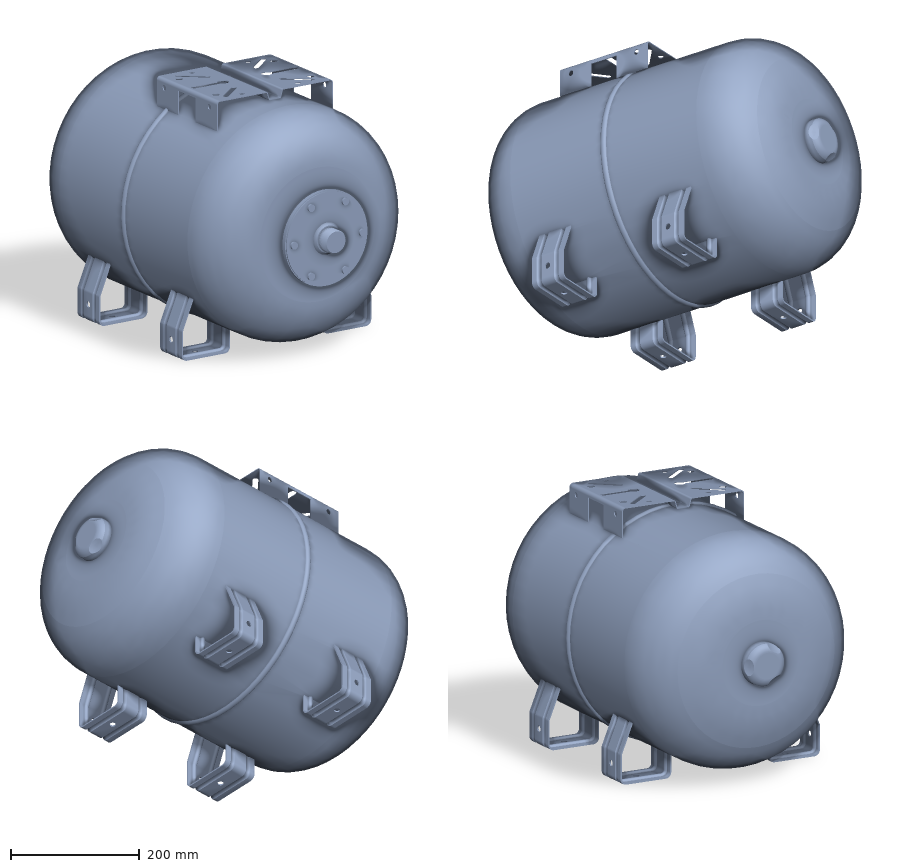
import math

import cadquery as cq


TANK_RADIUS = 190.0
CYLINDER_HALF = 177.5
BEAD_RADIUS = 6.0
BEAD_CREST_RADIUS = 193.41

LEFT_KNUCKLE_RADIUS = 90.0
LEFT_CROWN_RADIUS = 140.0
LEFT_FLAT_RADIUS = 69.0
LEFT_FLAT_X = -274.0

RIGHT_KNUCKLE_RADIUS = 81.2
RIGHT_FLAT_X = CYLINDER_HALF + RIGHT_KNUCKLE_RADIUS

FITTING_END_X = 309.7
OVERALL_LENGTH = 604.44
CAP_END_X = FITTING_END_X - OVERALL_LENGTH
CAP_FACE_RADIUS = 21.5
CAP_SIDE_RADIUS = 34.3
CAP_BASE_RADIUS = 35.2
CAP_ROUND_LENGTH = 8.0
GRIP_COUNT = 3
GRIP_RADIUS = 47.0
GRIP_CENTRE_RADIUS = 65.0
GRIP_SETBACK = 22.7

NECK_RADIUS = 107.76 / 2
NECK_FOOT_RADIUS = 145.24 / 2
NECK_BLEND = NECK_FOOT_RADIUS - NECK_RADIUS
FLANGE_X = 275.2
FLANGE_THICKNESS = 7.3
FLANGE_RADIUS = 77.4
COVER_X = FLANGE_X + FLANGE_THICKNESS
COVER_THICKNESS = 2.3
COVER_RADIUS = 76.0
COVER_FACE_X = COVER_X + COVER_THICKNESS
BOSS_LENGTH = 4.6
BOSS_BASE_RADIUS = 26.0
BOSS_TOP_RADIUS = 22.0

BOLT_COUNT = 6
BOLT_CIRCLE_RADIUS = 64.25
BOLT_TIP_LENGTH = 3.7
BOLT_SHANK_DIAMETER = 9.0
BOLT_HEAD_DIAMETER = 12.0
BOLT_HEAD_GAP = 1.8
BOLT_HEAD_THICKNESS = 3.6

THREAD_RADIUS = 19.0
THREAD_DEPTH = 1.5
THREAD_PITCH = 2.31
THREAD_GROOVES = 10
THREAD_END_CHAMFER = 1.5

BRACKET_TOP_Z = 205.0
BRACKET_SHEET = 1.5
BRACKET_LENGTH = 167.0
BRACKET_CENTRE_X = 56.7
BRACKET_HALF_WIDTH = 109.0
BRACKET_BEND_RADIUS = 5.2
SKIRT_BOTTOM_Z = 156.6
SKIRT_GAP_LENGTH = 49.2
SKIRT_GAP_TOP_Z = 196.0
SKIRT_HOLE_DIAMETER = 9.0
SKIRT_HOLE_OFFSET = 62.5
SKIRT_HOLE_Z = 191.0
CHANNEL_TOP_HALF = 14.5
CHANNEL_FLOOR_HALF = 10.5
CHANNEL_BEND_RADIUS = 2.5

KEYHOLE_DIAMETER = 18.0
KEYHOLE_SLOT_WIDTH = 11.0
KEYHOLE_Y = 41.0
KEYHOLE_SLOT_END_Y = 100.0
SLANT_SLOT_WIDTH = 9.0
SLANT_INNER = (36.4, 45.0)
SLANT_OUTER = (66.5, 80.5)
SMALL_HOLE_DIAMETER = 9.0
SMALL_HOLE = (69.2, 52.8)
LARGE_HOLE_DIAMETER = 12.0
LARGE_HOLE = (51.0, 89.0)

FOOT_OFFSET_X = 114.7
FOOT_WIDTH = 60.0
FOOT_SHEET = 2.3
FOOT_RIB_DEPTH = 3.2
FOOT_RIB_WIDTH = 9.0
FOOT_RIB_OFFSET = 16.4
FOOT_BOTTOM_Z = -205.0
FOOT_OUTER_Y = 178.1
FOOT_INNER_Y = 87.4
FOOT_BEND_RADIUS = 10.0
FOOT_KNEE_Z = -155.5
FOOT_KNEE_RADIUS = 8.0
FOOT_TOP_Y = 152.0
FOOT_TOP_Z = -92.0
FOOT_INNER_TOP_Z = -160.0
FOOT_HOLE_DIAMETER = 10.0
FOOT_SIDE_HOLE_Z = -176.0
FOOT_FLOOR_HOLE_Y = 133.0
FOOT_DRILL_DEPTH = 20.0


def x_cylinder(radius, start, length, y=0.0, z=0.0):
    """Round bar along X."""
    return cq.Workplane("YZ", origin=(start, y, z)).circle(radius).extrude(length)


def revolve_about_x(profile):
    """Full turn of an (x, radius) outline about the tank axis."""
    return profile.close().revolve(360, (0, 0, 0), (1, 0, 0))


def rounded_path(points, radii):
    """Open wire in the YZ plane with each inner corner rounded by its own radius."""
    path = cq.Workplane("YZ").moveTo(*points[0])
    corners = zip(points, points[1:], points[2:], radii)
    for before, corner, after, radius in corners:
        pivot = cq.Vector(*corner)
        back = (cq.Vector(*before) - pivot).normalized()
        ahead = (cq.Vector(*after) - pivot).normalized()
        half_angle = back.getAngle(ahead) / 2
        setback = radius / math.tan(half_angle)
        arc_offset = radius / math.sin(half_angle) - radius
        start = pivot + back * setback
        middle = pivot + (back + ahead).normalized() * arc_offset
        end = pivot + ahead * setback
        path = path.lineTo(start.x, start.y)
        path = path.threePointArc((middle.x, middle.y), (end.x, end.y))
    return path.lineTo(*points[-1])


def make_tank():
    knuckle_centre = TANK_RADIUS - LEFT_KNUCKLE_RADIUS
    knuckle_reach = math.sqrt(LEFT_KNUCKLE_RADIUS**2 - (LEFT_CROWN_RADIUS - knuckle_centre) ** 2)
    profile = (
        cq.Workplane("XY")
        .moveTo(RIGHT_FLAT_X, 0)
        .lineTo(RIGHT_FLAT_X, TANK_RADIUS - RIGHT_KNUCKLE_RADIUS)
        .tangentArcPoint((CYLINDER_HALF, TANK_RADIUS), relative=False)
        .lineTo(-CYLINDER_HALF, TANK_RADIUS)
        .tangentArcPoint((-CYLINDER_HALF - knuckle_reach, LEFT_CROWN_RADIUS), relative=False)
        .tangentArcPoint((LEFT_FLAT_X, LEFT_FLAT_RADIUS), relative=False)
        .lineTo(LEFT_FLAT_X, 0)
    )
    bead_centre = BEAD_CREST_RADIUS - BEAD_RADIUS
    bead = cq.Workplane("XY").center(0, bead_centre).circle(BEAD_RADIUS)
    bead = bead.revolve(360, (0, -bead_centre, 0), (1, -bead_centre, 0))
    return revolve_about_x(profile).union(bead)


def make_cap():
    cap = revolve_about_x(
        cq.Workplane("XY")
        .moveTo(LEFT_FLAT_X, 0)
        .lineTo(CAP_END_X, 0)
        .lineTo(CAP_END_X, CAP_FACE_RADIUS)
        .tangentArcPoint((CAP_END_X + CAP_ROUND_LENGTH, CAP_SIDE_RADIUS), relative=False)
        .lineTo(LEFT_FLAT_X, CAP_BASE_RADIUS)
    )
    for i in range(GRIP_COUNT):
        grip = cq.Workplane("XY").sphere(GRIP_RADIUS)
        grip = grip.translate((CAP_END_X - GRIP_SETBACK, GRIP_CENTRE_RADIUS, 0))
        cap = cap.cut(grip.rotate((0, 0, 0), (1, 0, 0), i * 360 / GRIP_COUNT))
    return cap


def make_neck():
    sag = NECK_BLEND * (1 - math.sqrt(0.5))
    blend_end_x = RIGHT_FLAT_X + NECK_BLEND
    neck = revolve_about_x(
        cq.Workplane("XY")
        .moveTo(RIGHT_FLAT_X, 0)
        .lineTo(RIGHT_FLAT_X, NECK_FOOT_RADIUS)
        .threePointArc((RIGHT_FLAT_X + sag, NECK_RADIUS + sag), (blend_end_x, NECK_RADIUS))
        .lineTo(blend_end_x, 0)
    )
    neck = neck.union(x_cylinder(FLANGE_RADIUS, FLANGE_X, FLANGE_THICKNESS))
    neck = neck.union(x_cylinder(COVER_RADIUS, COVER_X, COVER_THICKNESS))
    for i in range(BOLT_COUNT):
        neck = neck.union(make_bolt(i * 2 * math.pi / BOLT_COUNT))
    return neck


def make_bolt(angle):
    y = BOLT_CIRCLE_RADIUS * math.cos(angle)
    z = BOLT_CIRCLE_RADIUS * math.sin(angle)
    tip_x = FLANGE_X - BOLT_TIP_LENGTH
    head_x = COVER_FACE_X + BOLT_HEAD_GAP
    shank = x_cylinder(BOLT_SHANK_DIAMETER / 2, tip_x, head_x - tip_x, y, z)
    return shank.union(x_cylinder(BOLT_HEAD_DIAMETER / 2, head_x, BOLT_HEAD_THICKNESS, y, z))


def make_connection():
    """Tapered boss carrying a pipe with ring-shaped thread grooves."""
    boss = revolve_about_x(
        cq.Workplane("XY")
        .moveTo(COVER_FACE_X, 0)
        .lineTo(COVER_FACE_X, BOSS_BASE_RADIUS)
        .lineTo(COVER_FACE_X + BOSS_LENGTH, BOSS_TOP_RADIUS)
        .lineTo(COVER_FACE_X + BOSS_LENGTH, 0)
    )
    root_radius = THREAD_RADIUS - THREAD_DEPTH
    thread_start_x = FITTING_END_X - THREAD_END_CHAMFER - THREAD_GROOVES * THREAD_PITCH
    pipe = cq.Workplane("XY").moveTo(COVER_FACE_X, 0).lineTo(COVER_FACE_X, THREAD_RADIUS)
    pipe = pipe.lineTo(thread_start_x, THREAD_RADIUS)
    for i in range(THREAD_GROOVES):
        groove_x = thread_start_x + i * THREAD_PITCH
        pipe = pipe.lineTo(groove_x + THREAD_PITCH / 2, root_radius)
        pipe = pipe.lineTo(groove_x + THREAD_PITCH, THREAD_RADIUS)
    pipe = pipe.lineTo(FITTING_END_X, THREAD_RADIUS - THREAD_END_CHAMFER).lineTo(FITTING_END_X, 0)
    return boss.union(revolve_about_x(pipe))


def make_bracket_sheet():
    half_sheet = BRACKET_SHEET / 2
    skirt_y = BRACKET_HALF_WIDTH - half_sheet
    plate_z = BRACKET_TOP_Z - half_sheet
    floor_z = TANK_RADIUS + half_sheet
    below_skirt_z = SKIRT_BOTTOM_Z - BRACKET_SHEET
    half_points = [
        (skirt_y, below_skirt_z),
        (skirt_y, plate_z),
        (CHANNEL_TOP_HALF, plate_z),
        (CHANNEL_FLOOR_HALF, floor_z),
    ]
    points = half_points + [(-y, z) for y, z in reversed(half_points)]
    half_radii = [BRACKET_BEND_RADIUS, CHANNEL_BEND_RADIUS, CHANNEL_BEND_RADIUS]
    path = rounded_path(points, half_radii + half_radii[::-1])
    sheet = path.wire().offset2D(half_sheet).extrude(BRACKET_LENGTH)
    sheet = sheet.translate((BRACKET_CENTRE_X - BRACKET_LENGTH / 2, 0, 0))

    below = cq.Workplane("XY", origin=(BRACKET_CENTRE_X, 0, SKIRT_BOTTOM_Z))
    below = below.rect(2 * BRACKET_LENGTH, 4 * BRACKET_HALF_WIDTH).extrude(-BRACKET_SHEET * 4)
    gap_depth = SKIRT_GAP_TOP_Z - below_skirt_z
    gap_width = 4 * BRACKET_SHEET
    gap = cq.Workplane("XY", origin=(BRACKET_CENTRE_X, 0, SKIRT_GAP_TOP_Z))
    gap = gap.pushPoints([(0, skirt_y), (0, -skirt_y)]).rect(SKIRT_GAP_LENGTH, gap_width)
    return sheet.cut(below).cut(gap.extrude(-gap_depth))


def plate_slot(start, end, width):
    """Round-ended slot cutter through the bracket plate."""
    dx = end[0] - start[0]
    dy = end[1] - start[1]
    middle = ((start[0] + end[0]) / 2, (start[1] + end[1]) / 2)
    length = math.hypot(dx, dy) + width
    slot = cq.Workplane("XY", origin=(BRACKET_CENTRE_X, 0, BRACKET_TOP_Z)).center(*middle)
    slot = slot.slot2D(length, width, math.degrees(math.atan2(dy, dx)))
    return slot.extrude(-2 * BRACKET_SHEET)


def plate_hole(position, diameter):
    """Round cutter through the bracket plate."""
    hole = cq.Workplane("XY", origin=(BRACKET_CENTRE_X, 0, BRACKET_TOP_Z)).center(*position)
    return hole.circle(diameter / 2).extrude(-2 * BRACKET_SHEET)


def make_bracket():
    bracket = make_bracket_sheet()
    slot_end_y = KEYHOLE_SLOT_END_Y - KEYHOLE_SLOT_WIDTH / 2
    for sy in (1, -1):
        keyhole = plate_slot((0, sy * KEYHOLE_Y), (0, sy * slot_end_y), KEYHOLE_SLOT_WIDTH)
        bracket = bracket.cut(keyhole)
        bracket = bracket.cut(plate_hole((0, sy * KEYHOLE_Y), KEYHOLE_DIAMETER))
        for sx in (1, -1):
            inner = (sx * SLANT_INNER[0], sy * SLANT_INNER[1])
            outer = (sx * SLANT_OUTER[0], sy * SLANT_OUTER[1])
            small = (sx * SMALL_HOLE[0], sy * SMALL_HOLE[1])
            large = (sx * LARGE_HOLE[0], sy * LARGE_HOLE[1])
            hole_x = BRACKET_CENTRE_X + sx * SKIRT_HOLE_OFFSET
            skirt_hole = cq.Workplane("XZ", origin=(hole_x, sy * BRACKET_HALF_WIDTH, SKIRT_HOLE_Z))
            skirt_hole = skirt_hole.circle(SKIRT_HOLE_DIAMETER / 2)
            skirt_hole = skirt_hole.extrude(2 * BRACKET_SHEET, both=True)
            bracket = bracket.cut(plate_slot(inner, outer, SLANT_SLOT_WIDTH))
            bracket = bracket.cut(plate_hole(small, SMALL_HOLE_DIAMETER))
            bracket = bracket.cut(plate_hole(large, LARGE_HOLE_DIAMETER))
            bracket = bracket.cut(skirt_hole)
    return bracket


def foot_section(plane):
    """Cross-section of the foot strip: two round ribs pressed inward, outer face on local y = 0."""
    half_width = FOOT_WIDTH / 2
    half_rib = FOOT_RIB_WIDTH / 2
    section = cq.Workplane(plane).moveTo(-half_width, 0)
    for centre in (-FOOT_RIB_OFFSET, FOOT_RIB_OFFSET):
        section = section.lineTo(centre - half_rib, 0)
        section = section.threePointArc((centre, FOOT_RIB_DEPTH), (centre + half_rib, 0))
    section = section.lineTo(half_width, 0).lineTo(half_width, FOOT_SHEET)
    for centre in (FOOT_RIB_OFFSET, -FOOT_RIB_OFFSET):
        section = section.lineTo(centre + half_rib, FOOT_SHEET)
        crest = (centre, FOOT_SHEET + FOOT_RIB_DEPTH)
        section = section.threePointArc(crest, (centre - half_rib, FOOT_SHEET))
    return section.lineTo(-half_width, FOOT_SHEET).close()


def make_foot():
    """One foot on the +Y side, centred on X = 0."""
    points = [
        (FOOT_INNER_Y, FOOT_INNER_TOP_Z),
        (FOOT_INNER_Y, FOOT_BOTTOM_Z),
        (FOOT_OUTER_Y, FOOT_BOTTOM_Z),
        (FOOT_OUTER_Y, FOOT_KNEE_Z),
        (FOOT_TOP_Y, FOOT_TOP_Z),
    ]
    path = rounded_path(points, [FOOT_BEND_RADIUS, FOOT_BEND_RADIUS, FOOT_KNEE_RADIUS]).wire()
    start = cq.Plane(origin=(0, FOOT_INNER_Y, FOOT_INNER_TOP_Z), xDir=(1, 0, 0), normal=(0, 0, 1))
    foot = foot_section(start).sweep(path)
    side_hole = cq.Workplane("XZ", origin=(0, FOOT_OUTER_Y, FOOT_SIDE_HOLE_Z))
    side_hole = side_hole.circle(FOOT_HOLE_DIAMETER / 2).extrude(FOOT_DRILL_DEPTH, both=True)
    floor_hole = cq.Workplane("XY", origin=(0, FOOT_FLOOR_HOLE_Y, FOOT_BOTTOM_Z))
    floor_hole = floor_hole.circle(FOOT_HOLE_DIAMETER / 2).extrude(FOOT_DRILL_DEPTH, both=True)
    return foot.cut(side_hole).cut(floor_hole)


result = make_tank().union(make_cap()).union(make_neck()).union(make_connection())
result = result.union(make_bracket())
foot = make_foot()
for foot_x in (-FOOT_OFFSET_X, FOOT_OFFSET_X):
    placed = foot.translate((foot_x, 0, 0))
    result = result.union(placed).union(placed.mirror("XZ"))